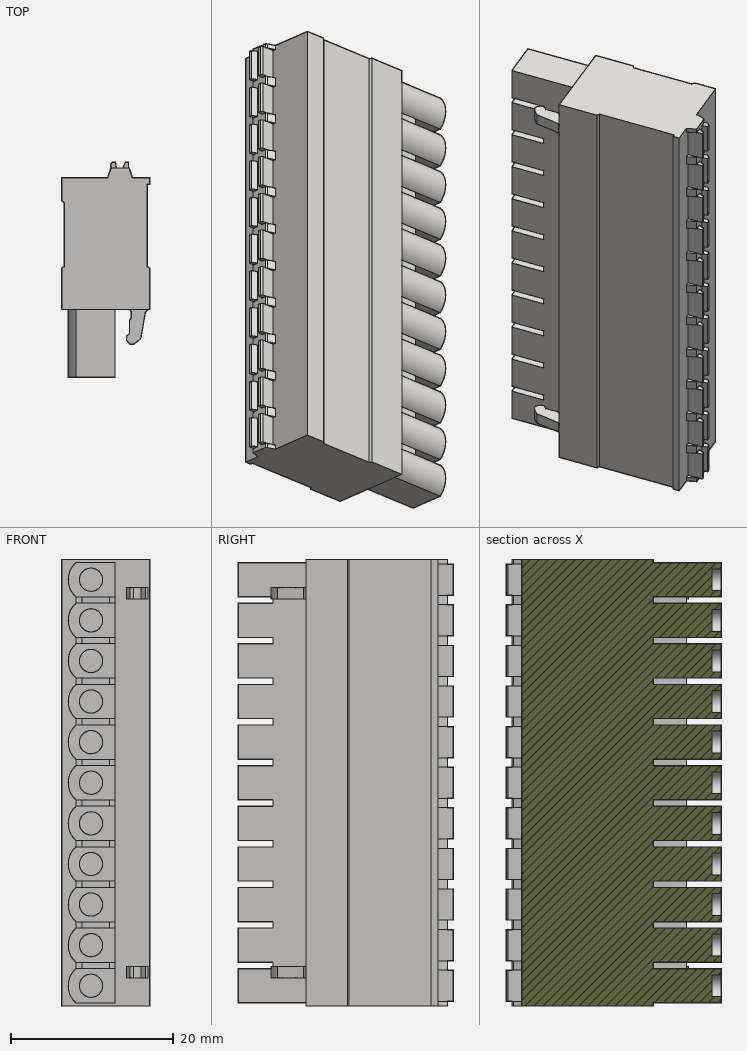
import cadquery as cq
import math

cell_count = 11
total_height = 55.0
pitch = total_height / cell_count
housing_width = 10.9
housing_depth = 16.2

recess_depth = 0.35
front_block_depth = 5.1
shoulder_slope = 0.15
left_lip_depth = 2.8
right_lip_depth = 0.8

funnel_length = 8.35
funnel_height = 4.25
funnel_right = 6.6
funnel_left = 0.8
bore_x = 3.65
bore_diameter = 2.85
bore_depth = 1.15
funnel_radius = bore_x - funnel_left
funnel_flat_start = bore_x - math.sqrt(funnel_radius**2 - (funnel_height / 2) ** 2)

web_length = 4.05
web_thickness = 0.7

crown_left = 5.65
crown_right = 8.75
crown_top_left = 6.15
crown_top_right = 8.35
crown_height = 1.2
crown_shoulder_inset = 0.35
crown_shoulder_height = 1.0
prong_block_height = 3.85
prong_height = 1.9
prong_left = 6.05
prong_right = 8.25
prong_top_width = 0.4
prong_base_width = 0.7
prong_bevel = 0.2

hook_thickness = 1.45
hook_end_offset = 3.45
hook_profile = [
    (8.35, 0),
    (8.6, -0.3),
    (8.6, -1.0),
    (8.35, -1.3),
    (8.35, -2.95),
    (8.0, -3.3),
    (8.0, -3.75),
    (8.4, -4.3),
    (8.85, -4.3),
    (9.4, -3.9),
    (9.8, -3.5),
    (10.35, -0.35),
    (10.65, 0),
]


def prism(points, bottom, height):
    """Extrude a closed XY outline upwards from the given Z."""
    return cq.Workplane("XY", origin=(0, 0, bottom)).polyline(points).close().extrude(height)


def cell_centre(index):
    return (index + 0.5) * pitch


def make_housing():
    recess_right = housing_width - recess_depth
    left_lip_start = housing_depth - left_lip_depth
    right_lip_start = housing_depth - right_lip_depth
    outline = [
        (0, 0),
        (housing_width, 0),
        (housing_width, front_block_depth),
        (recess_right, front_block_depth + shoulder_slope),
        (recess_right, right_lip_start),
        (housing_width, right_lip_start),
        (housing_width, housing_depth),
        (0, housing_depth),
        (0, left_lip_start),
        (recess_depth, left_lip_start - recess_depth),
        (recess_depth, front_block_depth + shoulder_slope),
        (0, front_block_depth),
    ]
    return prism(outline, 0, total_height)


def make_funnel(z):
    """Funnel standing out of the front face, centred on the given Z."""
    half = funnel_height / 2
    return (
        cq.Workplane("XZ", origin=(0, 0, z))
        .moveTo(funnel_flat_start, -half)
        .lineTo(funnel_right, -half)
        .lineTo(funnel_right, half)
        .lineTo(funnel_flat_start, half)
        .threePointArc((funnel_left, 0), (funnel_flat_start, -half))
        .close()
        .extrude(funnel_length)
    )


def make_bore(z):
    return (
        cq.Workplane("XZ", origin=(bore_x, -funnel_length + bore_depth, z))
        .circle(bore_diameter / 2)
        .extrude(bore_depth)
    )


def make_webs(z):
    """Two webs filling the gap between funnels, centred on the given Z."""
    gap = pitch - funnel_height
    web = cq.Workplane("XY").box(web_thickness, web_length, gap, centered=(False, False, True))
    left_web = web.translate((funnel_flat_start, -web_length, z))
    right_web = web.translate((funnel_right - web_thickness, -web_length, z))
    return left_web.union(right_web)


def make_crown_rib(bottom, top):
    shoulder = housing_depth + crown_shoulder_height
    crest = housing_depth + crown_height
    outline = [
        (crown_left, housing_depth),
        (crown_right, housing_depth),
        (crown_right - crown_shoulder_inset, shoulder),
        (crown_top_right, crest),
        (crown_top_left, crest),
        (crown_left + crown_shoulder_inset, shoulder),
    ]
    return prism(outline, bottom, top - bottom)


def make_prong_block(z):
    """Block with two prongs at its left and right edges, centred on the given Z."""
    tip = housing_depth + prong_height
    valley = housing_depth + crown_height
    left_tip_start = prong_left + prong_bevel
    outline = [
        (prong_left, housing_depth),
        (prong_right, housing_depth),
        (prong_right, tip),
        (prong_right - prong_top_width, tip),
        (prong_right - prong_base_width, valley),
        (prong_left + prong_base_width, valley),
        (left_tip_start + prong_top_width, tip),
        (left_tip_start, tip),
        (prong_left, tip - prong_bevel),
    ]
    return prism(outline, z - prong_block_height / 2, prong_block_height)


def make_hook(bottom):
    return prism(hook_profile, bottom, hook_thickness)


part = make_housing()

for cell in range(cell_count):
    centre = cell_centre(cell)
    part = part.union(make_funnel(centre)).cut(make_bore(centre))
    part = part.union(make_prong_block(centre))

for joint in range(1, cell_count):
    part = part.union(make_webs(joint * pitch))

rib_bottom = 0
for cell in range(cell_count):
    block_bottom = cell_centre(cell) - prong_block_height / 2
    part = part.union(make_crown_rib(rib_bottom, block_bottom))
    rib_bottom = block_bottom + prong_block_height
part = part.union(make_crown_rib(rib_bottom, total_height))

for hook_bottom in (hook_end_offset, total_height - hook_end_offset - hook_thickness):
    part = part.union(make_hook(hook_bottom))

result = part